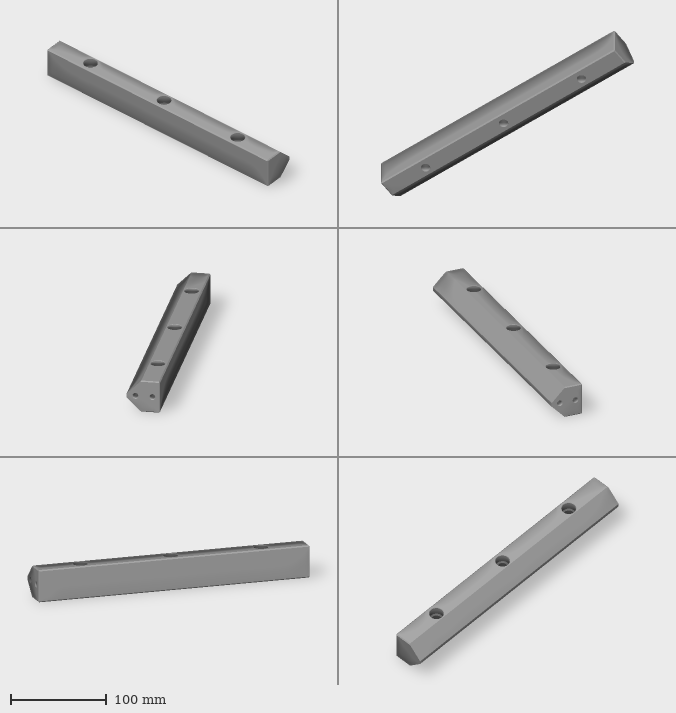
import cadquery as cq
import math

length = 300.0
depth = 35.5
height = 35.0

nose_height = 4.2
bevel = (height - nose_height) / 2
front_chamfer = 1.3
end_chamfer = 1.05

mount_spacing = length / 3
mount_y = 11.0
mount_diameter = 10.0
counterbore_diameter = 15.0
counterbore_depth = 9.3
mouth_chamfer = 0.48

end_hole_ys = (8.0, 26.0)
end_hole_diameter = 5.0
end_sink_diameter = 6.5
end_hole_depth = 15.0
drill_point_angle = 118.0
sink_angle = 90.0


def make_bar():
    """Five-sided bar along X with its flat front face at Y = 0."""
    half_height = height / 2
    half_nose = nose_height / 2
    outline = [
        (0, -half_height),
        (depth - bevel, -half_height),
        (depth, -half_nose),
        (depth, half_nose),
        (depth - bevel, half_height),
        (0, half_height),
    ]
    bar = cq.Workplane("YZ", origin=(-length / 2, 0, 0)).polyline(outline).close().extrude(length)
    bar = bar.faces("<X or >X").edges(">Z or <Z or <Y").chamfer(end_chamfer)
    return bar.faces("<Y").edges("|X").chamfer(front_chamfer)


def make_mounting_hole(x):
    """Vertical through hole with a counterbore from the top and a chamfered mouth."""
    top = height / 2
    radius = mount_diameter / 2
    bore_radius = counterbore_diameter / 2
    half_section = [
        (0, -top),
        (radius, -top),
        (radius, top - counterbore_depth),
        (bore_radius, top - counterbore_depth),
        (bore_radius, top - mouth_chamfer),
        (bore_radius + mouth_chamfer, top),
        (0, top),
    ]
    return (
        cq.Workplane("XZ")
        .polyline(half_section)
        .close()
        .revolve(360, (0, 0, 0), (0, 1, 0))
        .translate((x, mount_y, 0))
    )


def make_end_hole(y):
    """Countersunk blind drill hole with a conical bottom, entering at the -X end."""
    radius = end_hole_diameter / 2
    sink_radius = end_sink_diameter / 2
    sink_depth = (sink_radius - radius) / math.tan(math.radians(sink_angle / 2))
    point_depth = radius / math.tan(math.radians(drill_point_angle / 2))
    half_section = [
        (0, 0),
        (0, sink_radius),
        (sink_depth, radius),
        (end_hole_depth, radius),
        (end_hole_depth + point_depth, 0),
    ]
    return (
        cq.Workplane("XY")
        .polyline(half_section)
        .close()
        .revolve(360, (0, 0, 0), (1, 0, 0))
        .translate((-length / 2, y, 0))
    )


result = make_bar()
for hole_x in (-mount_spacing, 0, mount_spacing):
    result = result.cut(make_mounting_hole(hole_x))
for hole_y in end_hole_ys:
    result = result.cut(make_end_hole(hole_y))